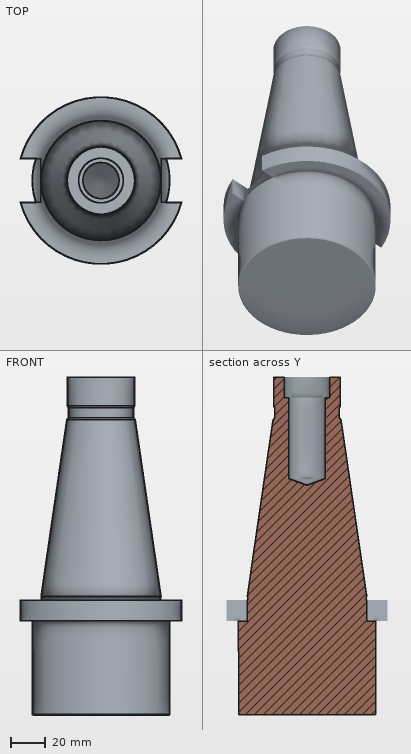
import cadquery as cq
import math

total_height = 196.8

body_diameter = 80.0
body_chamfer = 0.5
flange_diameter = 97.2
flange_thickness = 12.0
flange_top = 67.0
flange_bottom = flange_top - flange_thickness

slot_width = 25.4
slot_floor_distance = 35.0

taper_base_diameter = 69.9
taper_length = 102.7
taper_ratio = 7 / 24
relief_height = 2.2
taper_base = flange_top + relief_height
taper_top = taper_base + taper_length
taper_top_diameter = taper_base_diameter - taper_ratio * taper_length
relief_diameter = 69.5
relief_chamfer = (taper_base_diameter - relief_diameter) / 2

collar_diameter = 39.2
collar_length = 16.7
collar_bottom = total_height - collar_length
neck_diameter = 38.0
neck_bevel_height = 1.2

counterbore_diameter = 26.0
counterbore_depth = 11.8
drill_diameter = 21.0
drill_depth = 59.0
drill_point_angle = 140.0


def make_holder():
    """Revolve the outer profile about Z."""
    profile = [
        (0, 0),
        (body_diameter / 2 - body_chamfer, 0),
        (body_diameter / 2, body_chamfer),
        (body_diameter / 2, flange_bottom),
        (flange_diameter / 2, flange_bottom),
        (flange_diameter / 2, flange_top),
        (relief_diameter / 2, flange_top),
        (relief_diameter / 2, taper_base - relief_chamfer),
        (taper_base_diameter / 2, taper_base),
        (taper_top_diameter / 2, taper_top),
        (neck_diameter / 2, taper_top + neck_bevel_height),
        (neck_diameter / 2, collar_bottom - neck_bevel_height),
        (collar_diameter / 2, collar_bottom),
        (collar_diameter / 2, total_height),
        (0, total_height),
    ]
    return cq.Workplane("XZ").polyline(profile).close().revolve(360, (0, 0), (0, 1))


def make_drive_slot(side):
    """Cutter for one flange slot; side is -1 or +1 along X."""
    slot_length = flange_diameter / 2
    slot_center = side * (slot_floor_distance + slot_length / 2)
    return (
        cq.Workplane("XY", origin=(slot_center, 0, flange_bottom))
        .rect(slot_length, slot_width)
        .extrude(flange_thickness)
    )


def make_drawbar_hole():
    """Cutter for the counterbored hole with a conical bottom."""
    ledge = total_height - counterbore_depth
    drill_end = total_height - drill_depth
    point_height = drill_diameter / 2 / math.tan(math.radians(drill_point_angle / 2))
    profile = [
        (0, drill_end - point_height),
        (drill_diameter / 2, drill_end),
        (drill_diameter / 2, ledge),
        (counterbore_diameter / 2, ledge),
        (counterbore_diameter / 2, total_height),
        (0, total_height),
    ]
    return cq.Workplane("XZ").polyline(profile).close().revolve(360, (0, 0), (0, 1))


result = make_holder().cut(make_drawbar_hole())
for slot_side in (-1, 1):
    result = result.cut(make_drive_slot(slot_side))